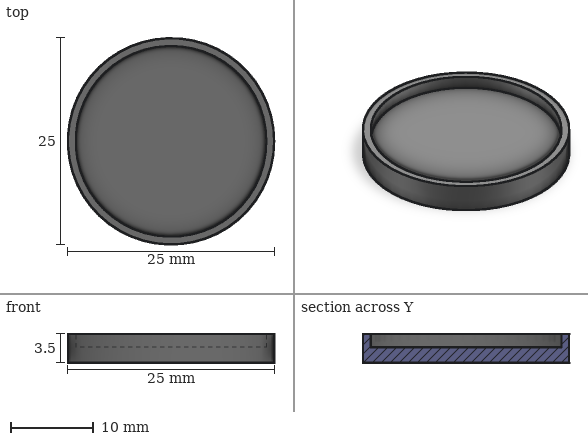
import cadquery as cq

outer_diameter = 25.0
height = 3.5
pocket_diameter = 23.1
pocket_depth = 1.6

disc = cq.Workplane("XY").circle(outer_diameter / 2).extrude(height)

result = disc.faces(">Z").workplane().circle(pocket_diameter / 2).cutBlind(-pocket_depth)